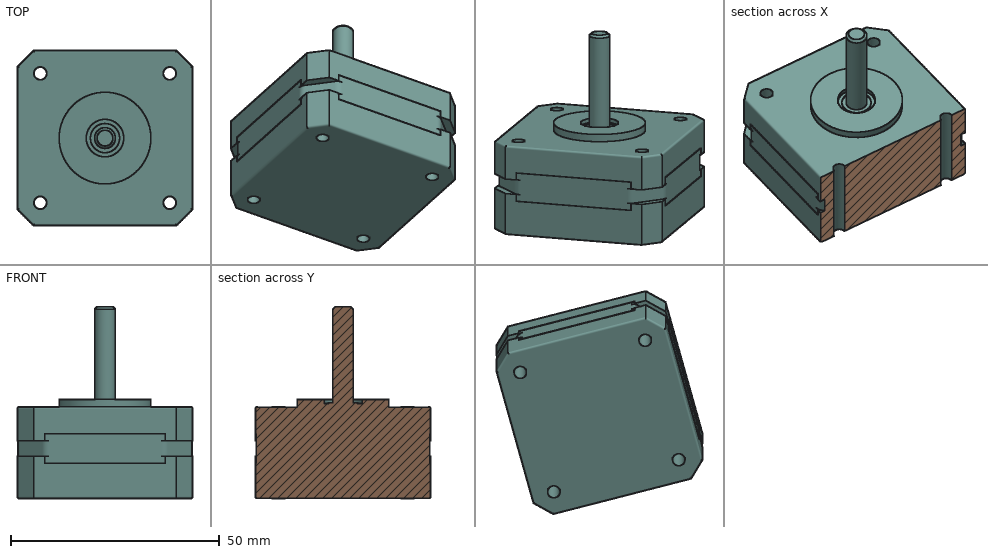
import cadquery as cq
import math


body_width = 42.0
body_height = 22.0
corner_chamfer = 3.9
rim_fillet = 0.5

core_inset = 0.1
core_width = body_width - 2 * core_inset
core_chamfer = 6.5
core_corner_radius = 2.0
core_mid_height = 12.0
corner_gap_height = 3.6

panel_width = 28.8
panel_height = 7.0

hole_diameter = 3.0
hole_spacing = 31.0

boss_diameter = 22.0
boss_height = 1.8
seat_diameter = 9.0
seat_depth = 1.0
ring_diameter = 7.0
ring_height = 0.2

shaft_diameter = 5.0
shaft_top = 46.0
tip_chamfer = 0.6

boss_top = body_height + boss_height
seat_floor = boss_top - seat_depth


def chamfered_block(width, height, chamfer, base):
    """Square block standing on Z = base with chamfered vertical edges."""
    block = cq.Workplane("XY").workplane(offset=base).rect(width, width).extrude(height)
    return block.edges("|Z").chamfer(chamfer)


def cylinder(diameter, base, top):
    return cq.Workplane("XY").workplane(offset=base).circle(diameter / 2).extrude(top - base)


def make_housing():
    housing = chamfered_block(body_width, body_height, corner_chamfer, 0)
    return housing.faces("<Z or >Z").edges().fillet(rim_fillet)


def cut_corner_gaps(housing):
    """Expose the rounded core corners in a band between the two end caps."""
    base = core_mid_height - corner_gap_height / 2
    core = chamfered_block(core_width, corner_gap_height, core_chamfer, base)
    core = core.edges("|Z").fillet(core_corner_radius)
    gap = cq.Workplane("XY").workplane(offset=base).rect(body_width, body_width).extrude(corner_gap_height)
    round_length = core_corner_radius * math.tan(math.pi / 8)
    flat_length = core_width - 2 * (core_chamfer + round_length)
    for length, width in ((flat_length, body_width), (body_width, flat_length)):
        flat = cq.Workplane("XY").workplane(offset=base).rect(length, width).extrude(corner_gap_height)
        gap = gap.cut(flat)
    return housing.cut(gap.cut(core))


def cut_side_panels(housing):
    panel = cq.Workplane("XY").box(panel_width, 2 * core_inset, panel_height)
    panel = panel.translate((0, -body_width / 2, core_mid_height))
    for side in range(4):
        housing = housing.cut(panel.rotate((0, 0, 0), (0, 0, 1), 90 * side))
    return housing


def drill_mounting_holes(housing):
    holes = cq.Workplane("XY").rect(hole_spacing, hole_spacing, forConstruction=True).vertices()
    return housing.cut(holes.circle(hole_diameter / 2).extrude(body_height))


def add_boss_and_seat(housing):
    boss = cylinder(boss_diameter, body_height, boss_top)
    seat = cylinder(seat_diameter, seat_floor, boss_top)
    ring = cylinder(ring_diameter, seat_floor, seat_floor + ring_height)
    return housing.union(boss).cut(seat).union(ring)


def add_shaft(housing):
    shaft = cylinder(shaft_diameter, body_height / 2, shaft_top)
    return housing.union(shaft.faces(">Z").chamfer(tip_chamfer))


housing = make_housing()
housing = cut_corner_gaps(housing)
housing = cut_side_panels(housing)
housing = drill_mounting_holes(housing)
housing = add_boss_and_seat(housing)
result = add_shaft(housing)